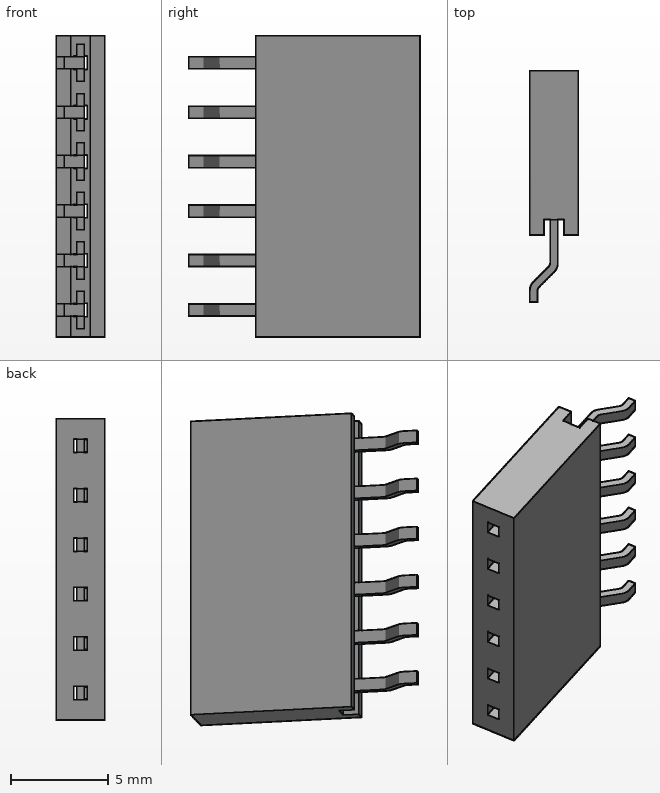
import cadquery as cq
import math

housing_width = 2.5
housing_depth = 8.45
housing_height = 15.49

groove_width = 1.0
groove_depth = 0.8

terminal_count = 6
terminal_pitch = 2.54

strip_thickness = 0.4
blade_height = 1.92
blade_length = (housing_depth - groove_depth) / 2
tail_height = 0.64
tail_reach = 3.44
first_bend_reach = 1.53
bend_inner_radius = 0.3
bend_outer_radius = 0.6
bend_angle = 45.0

mating_hole_size = 0.68

groove_floor_y = groove_depth
blade_end_y = groove_floor_y + blade_length
terminal_heights = [
    (index - (terminal_count - 1) / 2) * terminal_pitch for index in range(terminal_count)
]


def centred_box(width, height, y_start, y_end, z_centre=0.0):
    """Box centred on X that spans y_start to y_end."""
    length = y_end - y_start
    return cq.Workplane("XY").box(width, length, height).translate((0, y_start + length / 2, z_centre))


def make_blade(z_centre):
    """Flat blade seated in the housing, flush with the groove floor."""
    return centred_box(strip_thickness, blade_height, groove_floor_y, blade_end_y, z_centre)


def vertical_edge_at(corner, z_centre):
    """Selector for the edge whose midpoint is nearest to an outline corner."""
    return cq.selectors.NearestToPointSelector((*corner, z_centre))


def make_tail(z_centre):
    """Tail that runs out of the blade and cranks sideways until it is flush with the -X face."""
    blade_left = -strip_thickness / 2
    blade_right = strip_thickness / 2
    tip_left = -housing_width / 2
    tip_right = tip_left + strip_thickness
    crank_length = (blade_left - tip_left) / math.tan(math.radians(bend_angle))
    miter = strip_thickness * math.tan(math.radians(bend_angle / 2))
    bend_1_left = (blade_left, -first_bend_reach)
    bend_1_right = (blade_right, -first_bend_reach - miter)
    bend_2_left = (tip_left, -first_bend_reach - crank_length)
    bend_2_right = (tip_right, -first_bend_reach - crank_length - miter)
    outline = [
        (blade_left, groove_floor_y),
        bend_1_left,
        bend_2_left,
        (tip_left, -tail_reach),
        (tip_right, -tail_reach),
        bend_2_right,
        bend_1_right,
        (blade_right, groove_floor_y),
    ]
    tail = (
        cq.Workplane("XY")
        .workplane(offset=z_centre - tail_height / 2)
        .polyline(outline)
        .close()
        .extrude(tail_height)
    )
    for corner in (bend_1_left, bend_2_right):
        tail = tail.edges(vertical_edge_at(corner, z_centre)).fillet(bend_inner_radius)
    for corner in (bend_1_right, bend_2_left):
        tail = tail.edges(vertical_edge_at(corner, z_centre)).fillet(bend_outer_radius)
    return tail


def make_terminal(z_centre):
    """One-piece terminal: blade and cranked tail."""
    return make_blade(z_centre).union(make_tail(z_centre))


def make_housing():
    """Grooved block with a through hole and a fitted blade slot for each terminal."""
    body = centred_box(housing_width, housing_height, 0, housing_depth)
    body = body.cut(centred_box(groove_width, housing_height, 0, groove_floor_y))
    for z_centre in terminal_heights:
        mating_hole = centred_box(
            mating_hole_size, mating_hole_size, groove_floor_y, housing_depth, z_centre
        )
        body = body.cut(mating_hole).cut(make_blade(z_centre))
    return body


housing = make_housing()
terminals = [make_terminal(z_centre) for z_centre in terminal_heights]

result = cq.Compound.makeCompound([housing.val(), *[terminal.val() for terminal in terminals]])